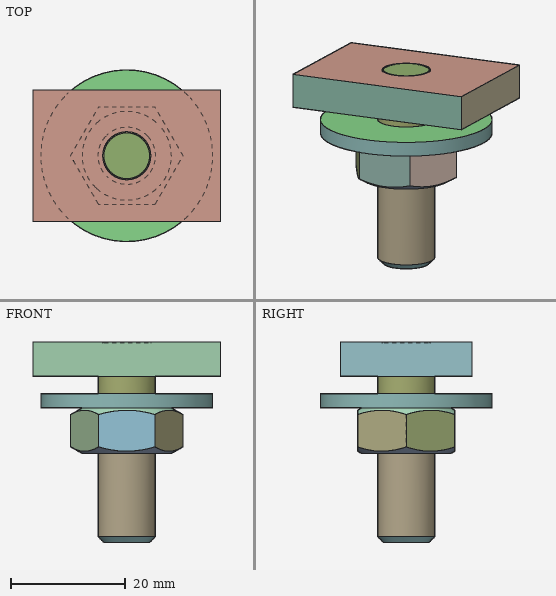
import cadquery as cq
import math

total_height = 35.0

plate_length = 32.8
plate_width = 23.0
plate_thickness = 6.0

stud_diameter = 10.0
stud_chamfer_height = 1.0
stud_chamfer_width = 1.0

ring_diameter = 8.4
ring_width = 0.2
ring_depth = 0.2

washer_diameter = 30.0
washer_thickness = 2.5
washer_gap = 3.0

nut_across_flats = 17.0
nut_height = 8.0
nut_face_diameter = 15.55
nut_chamfer_angle = 30.0

plate_bottom = total_height - plate_thickness
washer_top = plate_bottom - washer_gap
washer_bottom = washer_top - washer_thickness
nut_bottom = washer_bottom - nut_height


def make_plate():
    plate = (
        cq.Workplane("XY", origin=(0, 0, plate_bottom))
        .rect(plate_length, plate_width)
        .extrude(plate_thickness)
    )
    outer = ring_diameter / 2
    inner = outer - ring_width
    groove = (
        cq.Workplane("XZ")
        .polyline([
            (inner, total_height),
            (outer, total_height),
            (outer, total_height - ring_depth),
        ])
        .close()
        .revolve(360, (0, 0, 0), (0, 1, 0))
    )
    return plate.cut(groove)


def make_stud():
    radius = stud_diameter / 2
    return (
        cq.Workplane("XZ")
        .polyline([
            (0, 0),
            (radius - stud_chamfer_width, 0),
            (radius, stud_chamfer_height),
            (radius, plate_bottom),
            (0, plate_bottom),
        ])
        .close()
        .revolve(360, (0, 0, 0), (0, 1, 0))
    )


def make_washer():
    return (
        cq.Workplane("XY", origin=(0, 0, washer_bottom))
        .circle(washer_diameter / 2)
        .extrude(washer_thickness)
    )


def make_nut():
    across_corners = nut_across_flats / math.cos(math.pi / 6)
    prism = (
        cq.Workplane("XY", origin=(0, 0, nut_bottom))
        .polygon(6, across_corners)
        .extrude(nut_height)
    )
    face_radius = nut_face_diameter / 2
    corner_radius = across_corners / 2
    chamfer_height = (corner_radius - face_radius) * math.tan(math.radians(nut_chamfer_angle))
    envelope = (
        cq.Workplane("XZ")
        .polyline([
            (0, nut_bottom),
            (face_radius, nut_bottom),
            (corner_radius, nut_bottom + chamfer_height),
            (corner_radius, washer_bottom - chamfer_height),
            (face_radius, washer_bottom),
            (0, washer_bottom),
        ])
        .close()
        .revolve(360, (0, 0, 0), (0, 1, 0))
    )
    return prism.intersect(envelope)


result = make_plate().union(make_stud()).union(make_washer()).union(make_nut())